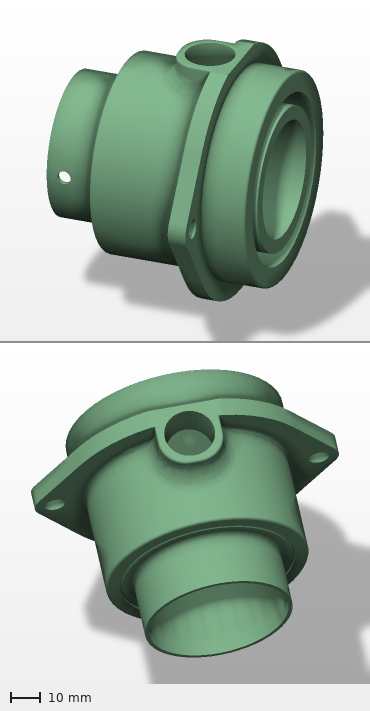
import cadquery as cq
import math

TOTAL_LENGTH = 76.2
TOTAL_WIDTH = 104.8

BARREL_START = 19.0
BARREL_RADIUS = 69.8 / 2
SPIGOT_RADIUS = 75.0 / 2
BORE_RADIUS = 60.3 / 2
RIM_ROUND = 0.8
FLANGE_START = 54.1
FLANGE_THICKNESS = 6.4
FLANGE_RADIUS = 44.4
FLANGE_FLAT_Z = 42.6
FLANGE_FILLET = 1.6
EAR_RADIUS = 6.9
BOLT_HOLE_DIAMETER = 6.8
flange_end = FLANGE_START + FLANGE_THICKNESS
bolt_offset = TOTAL_WIDTH / 2 - EAR_RADIUS

BOSS_HALF_WIDTH = 11.1
BOSS_CORNER_RADIUS = 9.5
BOSS_BASE_FILLET = 6.3
BOSS_RIM_ROUND = 0.7
PORT_X = 49.4
PORT_TOP_RADIUS = 8.6
PORT_BOTTOM_RADIUS = 8.2
SELECT_MARGIN = 0.1
boss_start = PORT_X - BOSS_HALF_WIDTH

SLEEVE_RADIUS = 51.0 / 2
SLEEVE_FRONT_BORE_RADIUS = 24.1
SLEEVE_REAR_BORE_RADIUS = 20.5
COLLAR_LENGTH = 10.5
COLLAR_CHAMFER = 0.8
COLLAR_FILLET = 1.6
VENT_X = 6.3
VENT_DIAMETER = 4.7
collar_end = BARREL_START + COLLAR_LENGTH


def cylinder_x(radius, start, end):
    return cq.Workplane("YZ", origin=(start, 0, 0)).circle(radius).extrude(end - start)


def boss_edges(low_z, high_z):
    """Select the edges of the boss walls between two heights, leaving out its rear end."""
    low = (boss_start - SELECT_MARGIN, -BOSS_HALF_WIDTH - SELECT_MARGIN, low_z - SELECT_MARGIN)
    high = (TOTAL_LENGTH - SELECT_MARGIN, BOSS_HALF_WIDTH + SELECT_MARGIN, high_z + SELECT_MARGIN)
    return cq.selectors.BoxSelector(low, high)


def make_barrel_with_boss():
    """Barrel and filleted port boss, ending inside the flange."""
    barrel = cylinder_x(BARREL_RADIUS, BARREL_START, TOTAL_LENGTH)
    barrel = barrel.faces("<X").edges().fillet(RIM_ROUND)
    boss = (
        cq.Workplane("XY")
        .rect(TOTAL_LENGTH - boss_start, 2 * BOSS_HALF_WIDTH)
        .extrude(FLANGE_FLAT_Z)
        .translate(((TOTAL_LENGTH + boss_start) / 2, 0, 0))
        .edges("|Z and <X").fillet(BOSS_CORNER_RADIUS)
    )
    body = barrel.union(boss)
    foot_low_z = math.sqrt(BARREL_RADIUS**2 - BOSS_HALF_WIDTH**2)
    body = body.edges(boss_edges(foot_low_z, BARREL_RADIUS)).fillet(BOSS_BASE_FILLET)
    body = body.edges(boss_edges(FLANGE_FLAT_Z, FLANGE_FLAT_Z)).fillet(BOSS_RIM_ROUND)
    keep = cylinder_x(TOTAL_WIDTH, 0, FLANGE_START + FLANGE_THICKNESS / 2)
    return body.intersect(keep)


def make_flange():
    """Round plate with two tangent bolt ears and a flat on top."""
    tangent_angle = math.acos((FLANGE_RADIUS - EAR_RADIUS) / bolt_offset)
    cos_t = math.cos(tangent_angle)
    sin_t = math.sin(tangent_angle)
    ear_y = bolt_offset + EAR_RADIUS * cos_t
    ear_z = EAR_RADIUS * sin_t
    body_y = FLANGE_RADIUS * cos_t
    body_z = FLANGE_RADIUS * sin_t
    plate = (
        cq.Workplane("YZ", origin=(FLANGE_START, 0, 0))
        .moveTo(body_y, body_z)
        .lineTo(ear_y, ear_z)
        .threePointArc((TOTAL_WIDTH / 2, 0), (ear_y, -ear_z))
        .lineTo(body_y, -body_z)
        .threePointArc((0, -FLANGE_RADIUS), (-body_y, -body_z))
        .lineTo(-ear_y, -ear_z)
        .threePointArc((-TOTAL_WIDTH / 2, 0), (-ear_y, ear_z))
        .lineTo(-body_y, body_z)
        .threePointArc((0, FLANGE_RADIUS), (body_y, body_z))
        .close()
        .extrude(FLANGE_THICKNESS)
    )
    bolt_holes = (
        cq.Workplane("YZ", origin=(FLANGE_START, 0, 0))
        .pushPoints([(-bolt_offset, 0), (bolt_offset, 0)])
        .circle(BOLT_HOLE_DIAMETER / 2)
        .extrude(FLANGE_THICKNESS)
    )
    above_flat = (
        cq.Workplane("XY", origin=(FLANGE_START, 0, FLANGE_FLAT_Z))
        .rect(TOTAL_WIDTH, TOTAL_WIDTH)
        .extrude(FLANGE_RADIUS)
    )
    return plate.cut(bolt_holes).cut(above_flat)


def make_fillet_ring(end, radius, size):
    """Concave fillet around a cylinder, against a wall at X = end."""
    bulge = size * (1 - math.sqrt(0.5))
    return (
        cq.Workplane("XY")
        .moveTo(end - size, radius)
        .threePointArc((end - bulge, radius + bulge), (end, radius + size))
        .lineTo(end, radius - size / 2)
        .lineTo(end - size, radius - size / 2)
        .close()
        .revolve(360, (0, 0, 0), (1, 0, 0))
    )


def make_port():
    """Slightly tapered hole from the boss top into the housing bore."""
    return (
        cq.Workplane("XY", origin=(PORT_X, 0, FLANGE_FLAT_Z))
        .circle(PORT_TOP_RADIUS)
        .workplane(offset=SLEEVE_RADIUS - FLANGE_FLAT_Z)
        .circle(PORT_BOTTOM_RADIUS)
        .loft()
    )


def make_housing():
    spigot = cylinder_x(SPIGOT_RADIUS, flange_end, TOTAL_LENGTH)
    spigot = spigot.faces(">X").edges().fillet(RIM_ROUND)
    ring = make_fillet_ring(FLANGE_START, BARREL_RADIUS, FLANGE_FILLET)
    bore = cylinder_x(BORE_RADIUS, BARREL_START, TOTAL_LENGTH)
    body = make_barrel_with_boss().union(make_flange()).union(spigot).union(ring)
    return body.cut(bore).cut(make_port())


def make_sleeve():
    tube = cylinder_x(SLEEVE_RADIUS, 0, TOTAL_LENGTH)
    collar = cylinder_x(BORE_RADIUS, BARREL_START, collar_end)
    collar = collar.faces("<X").edges().chamfer(COLLAR_CHAMFER)
    ring = make_fillet_ring(BARREL_START, SLEEVE_RADIUS, COLLAR_FILLET)
    bore = (
        cq.Workplane("YZ")
        .circle(SLEEVE_FRONT_BORE_RADIUS)
        .workplane(offset=TOTAL_LENGTH)
        .circle(SLEEVE_REAR_BORE_RADIUS)
        .loft()
    )
    vent = (
        cq.Workplane("XZ", origin=(VENT_X, 0, 0))
        .circle(VENT_DIAMETER / 2)
        .extrude(BORE_RADIUS)
    )
    return tube.union(collar).union(ring).cut(bore).cut(vent)


housing = make_housing()
sleeve = make_sleeve()
result = cq.Compound.makeCompound([housing.val(), sleeve.val()])